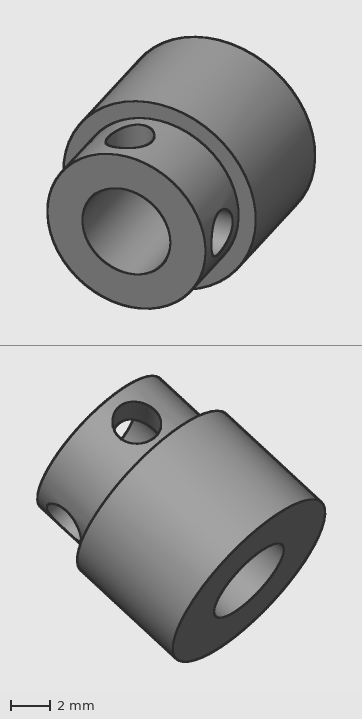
import cadquery as cq

body_diameter = 10.95
body_length = 7.0
hub_diameter = 9.0
hub_length = 3.9
bore_diameter = 5.0
screw_hole_diameter = 2.5
top_hole_offset = -0.73

total_length = body_length + hub_length
screw_hole_y = hub_length / 2
hole_reach = body_diameter / 2


def cylinder_along_y(diameter, start_y, length):
    """Cylinder on the part axis, growing from start_y towards +Y."""
    base = cq.Vector(0, start_y, 0)
    return cq.Workplane(cq.Solid.makeCylinder(diameter / 2, length, base, cq.Vector(0, 1, 0)))


def screw_hole(start_x, direction):
    """Radial cutter from the mid-plane through one wall of the hub."""
    base = cq.Vector(start_x, screw_hole_y, 0)
    return cq.Workplane(
        cq.Solid.makeCylinder(screw_hole_diameter / 2, hole_reach, base, cq.Vector(*direction))
    )


hub = cylinder_along_y(hub_diameter, 0, hub_length)
body = cylinder_along_y(body_diameter, hub_length, body_length)
sleeve = hub.union(body).cut(cylinder_along_y(bore_diameter, 0, total_length))

top_hole = screw_hole(top_hole_offset, (0, 0, 1))
side_hole = screw_hole(0, (1, 0, 0))

result = sleeve.cut(top_hole).cut(side_hole)